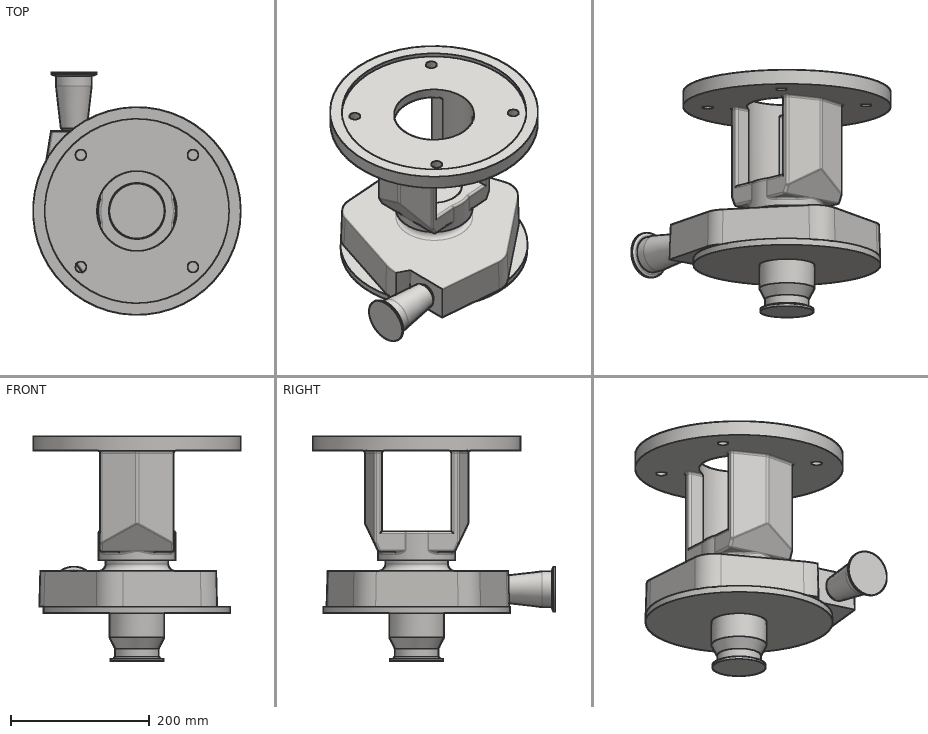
import cadquery as cq
import math

TOTAL_HEIGHT = 324.5
FLANGE_THICKNESS = 21.0
FLANGE_BOTTOM = TOTAL_HEIGHT - FLANGE_THICKNESS
HUB_TOP = 187.7
BRACKET_BOTTOM = 157.5
HUB_BOTTOM = 145.4
CASING_TOP = 130.3
COVER_TOP = 78.5
COVER_BOTTOM = 69.1

FLANGE_RADIUS = 150.0
SPIGOT_RADIUS = 133.0
SPIGOT_DEPTH = 6.0
BORE_RADIUS = 57.7
BOLT_CIRCLE_RADIUS = 114.3
BOLT_HOLE_RADIUS = 7.8
BOLT_HOLE_COUNT = 4
FIRST_BOLT_ANGLE = 45.0

BRACKET_HALF_WIDTH = 53.3
RIDGE_REACH = 75.2
ARM_SLOPE_ANGLE = 15.0
RIDGE_FILLET = 10.0
BRACKET_FILLET = 3.5
CHIN_FILLET = 3.5
HUB_FILLET = 3.3
ARM_ROOT_FILLET = 3.3
ROUNDED_REACH = 62.0
WINDOW_HALF_WIDTH = 49.8
CHIN_TOP = 199.4
CHIN_REACH = 55.0
HUB_RADIUS = 55.8
SEAL_RECESS_RADIUS = 40.6
SEAL_RECESS_FLOOR_RADIUS = 39.6
SEAL_RECESS_DEPTH = 4.0
NECK_RADIUS = 45.4
NECK_FILLET = 10.0

CASING_APOTHEM = 115.9
CASING_DRAFT = 1.5
CASING_SIDES = 5
CASING_CORNER_FILLET = 34.0
BACK_FILLET = 70.0
CASING_TOP_FILLET = 0.9
OUTLET_WALL_ANGLE = 9.2
OUTLET_WALL_DISTANCE = 140.9
BACK_WALL_Y = 133.7
STEP_WALL_ANGLE = 148.7
STEP_WALL_DISTANCE = 111.9
OUTLET_FACE_Y = 115.7
COVER_RADIUS = 135.0

INLET_RADIUS = 39.8
INLET_PIPE_RADIUS = 31.7
INLET_CONE_TOP = 34.1
INLET_CONE_BOTTOM = 18.2
INLET_FERRULE_RADIUS = 38.5
INLET_FERRULE_THICKNESS = 3.8
INLET_FERRULE_SHOULDER_RADIUS = 34.3
INLET_FERRULE_BACK = 6.6

OUTLET_X = -91.0
OUTLET_Z = 103.7
OUTLET_END_Y = 200.0
OUTLET_NECK_RADIUS = 15.8
OUTLET_NECK_TOP_Y = 116.5
OUTLET_CONE_START_Y = 119.2
OUTLET_CONE_RADIUS = 19.0
OUTLET_CONE_END_Y = 180.6
OUTLET_PIPE_RADIUS = 26.0
OUTLET_FERRULE_RADIUS = 32.8
OUTLET_FERRULE_THICKNESS = 2.8
OUTLET_FERRULE_SHOULDER_RADIUS = 28.5
OUTLET_FERRULE_SHOULDER_LENGTH = 4.6
OUTLET_FERRULE_BACK_LENGTH = 5.4

OVERLAP = 5.0
WIDE_MARGIN = 5.0
MARGIN = 1.0
FINE_MARGIN = 0.1


def cylinder(radius, bottom, top):
    return cq.Workplane("XY").workplane(offset=bottom).circle(radius).extrude(top - bottom)


def revolved(profile):
    """Solid of revolution about Z from (radius, height) points listed from bottom to top."""
    axis_points = [(0, profile[0][1])] + profile + [(0, profile[-1][1])]
    return cq.Workplane("XZ").polyline(axis_points).close().revolve(360, (0, 0, 0), (0, 1, 0))


def level_edges(reach_x, reach_y, height):
    """Selector for the edges centred near the pump axis and lying at one height."""
    return cq.selectors.BoxSelector(
        (-reach_x, -reach_y, height - FINE_MARGIN),
        (reach_x, reach_y, height + FINE_MARGIN),
    )


def bracket_block():
    """Six-sided block with a ridge on the front and back and a sloping chin below each ridge."""
    slope = math.tan(math.radians(ARM_SLOPE_ANGLE))
    side_reach = RIDGE_REACH - BRACKET_HALF_WIDTH * slope
    half = [(BRACKET_HALF_WIDTH, side_reach), (0, RIDGE_REACH), (-BRACKET_HALF_WIDTH, side_reach)]
    outline = half + [(-x, -y) for x, y in half]
    block = (
        cq.Workplane("XY").workplane(offset=BRACKET_BOTTOM)
        .polyline(outline).close().extrude(FLANGE_BOTTOM - BRACKET_BOTTOM)
    )
    ridges = cq.selectors.BoxSelector(
        (-MARGIN, -2 * RIDGE_REACH, BRACKET_BOTTOM), (MARGIN, 2 * RIDGE_REACH, FLANGE_BOTTOM)
    )
    block = block.edges("|Z").edges(ridges).fillet(RIDGE_FILLET)
    profile = [
        (-CHIN_REACH, BRACKET_BOTTOM), (CHIN_REACH, BRACKET_BOTTOM),
        (RIDGE_REACH, CHIN_TOP), (RIDGE_REACH, FLANGE_BOTTOM),
        (-RIDGE_REACH, FLANGE_BOTTOM), (-RIDGE_REACH, CHIN_TOP),
    ]
    chin = cq.Workplane("YZ").polyline(profile).close().extrude(BRACKET_HALF_WIDTH * 2, both=True)
    block = block.intersect(chin)
    for side in (-1, 1):
        chin_edges = cq.selectors.BoxSelector(
            (-BRACKET_HALF_WIDTH, side * ROUNDED_REACH, BRACKET_BOTTOM + MARGIN),
            (BRACKET_HALF_WIDTH, side * 2 * RIDGE_REACH, CHIN_TOP + MARGIN),
        )
        block = block.edges(chin_edges).fillet(CHIN_FILLET)
    return block


def fillet_window_side(body, side):
    """Round the rim of the bracket window on the side wall facing side * X."""
    inner_x = side * WINDOW_HALF_WIDTH
    outer_x = side * (HUB_RADIUS + MARGIN)
    rim = cq.selectors.BoxSelector(
        (min(inner_x, outer_x), -WINDOW_HALF_WIDTH - MARGIN, HUB_TOP - MARGIN),
        (max(inner_x, outer_x), WINDOW_HALF_WIDTH + MARGIN, FLANGE_BOTTOM - MARGIN),
    )
    return body.edges(rim).fillet(BRACKET_FILLET)


def bracket_with_flange():
    body = bracket_block()

    lower_edges = cq.selectors.BoxSelector(
        (-HUB_RADIUS, -ROUNDED_REACH, HUB_BOTTOM), (HUB_RADIUS, ROUNDED_REACH, FLANGE_BOTTOM - MARGIN)
    )
    body = body.edges(lower_edges).fillet(BRACKET_FILLET)

    body = body.union(cylinder(HUB_RADIUS, HUB_BOTTOM, HUB_TOP))
    hub_joint = level_edges(HUB_RADIUS, HUB_RADIUS, BRACKET_BOTTOM)
    body = body.edges(hub_joint).fillet(HUB_FILLET)

    body = body.union(cylinder(FLANGE_RADIUS, FLANGE_BOTTOM, TOTAL_HEIGHT))
    window_height = FLANGE_BOTTOM - HUB_TOP
    window = (
        cq.Workplane("XY").workplane(offset=HUB_TOP)
        .rect(4 * HUB_RADIUS, 2 * WINDOW_HALF_WIDTH).extrude(window_height)
    )
    body = body.cut(window)
    for side in (-1, 1):
        body = fillet_window_side(body, side)

    arm_roots = level_edges(HUB_RADIUS, RIDGE_REACH, FLANGE_BOTTOM)
    flange_rim = cq.selectors.RadiusNthSelector(-1)
    body = body.edges(arm_roots - flange_rim).fillet(ARM_ROOT_FILLET)

    body = body.cut(cylinder(BORE_RADIUS, HUB_TOP, TOTAL_HEIGHT))
    body = body.cut(cylinder(SPIGOT_RADIUS, TOTAL_HEIGHT - SPIGOT_DEPTH, TOTAL_HEIGHT))
    seal_recess = revolved([
        (SEAL_RECESS_FLOOR_RADIUS, HUB_TOP - SEAL_RECESS_DEPTH),
        (SEAL_RECESS_RADIUS, HUB_TOP),
    ])
    body = body.cut(seal_recess)
    bolt_holes = (
        cq.Workplane("XY").workplane(offset=FLANGE_BOTTOM)
        .polarArray(BOLT_CIRCLE_RADIUS, FIRST_BOLT_ANGLE, 360, BOLT_HOLE_COUNT)
        .circle(BOLT_HOLE_RADIUS).extrude(FLANGE_THICKNESS)
    )
    return body.cut(bolt_holes)


def wall_corner(first, second):
    """Point where two walls meet, each given as (direction of its normal, distance from the axis)."""
    angle_1, distance_1 = math.radians(first[0]), first[1]
    angle_2, distance_2 = math.radians(second[0]), second[1]
    spread = math.sin(angle_2 - angle_1)
    x = (distance_1 * math.sin(angle_2) - distance_2 * math.sin(angle_1)) / spread
    y = (distance_2 * math.cos(angle_1) - distance_1 * math.cos(angle_2)) / spread
    return (x, y)


def upright_edge_at(corner):
    x, y = corner
    return cq.selectors.BoxSelector(
        (x - WIDE_MARGIN, y - WIDE_MARGIN, COVER_TOP + WIDE_MARGIN),
        (x + WIDE_MARGIN, y + WIDE_MARGIN, CASING_TOP - WIDE_MARGIN),
    )


def casing():
    """Pentagon of drafted walls whose -X +Y side opens into a square-ended outlet."""
    turn_angle = 360.0 / CASING_SIDES
    pentagon = [(turn * turn_angle, CASING_APOTHEM) for turn in (1, 0, -1, -2)]
    outlet_side = (180 - OUTLET_WALL_ANGLE, OUTLET_WALL_DISTANCE)
    outlet_face = (90, OUTLET_FACE_Y)
    step_wall = (STEP_WALL_ANGLE, STEP_WALL_DISTANCE)
    back_wall = (90, BACK_WALL_Y)
    walls = [back_wall, *pentagon, outlet_side, outlet_face, step_wall]
    corners = [wall_corner(walls[i], walls[i + 1]) for i in range(len(walls) - 1)]
    corners.append(wall_corner(step_wall, back_wall))
    back_corner = corners[0]
    wide_corners = corners[1:len(pentagon) + 1]

    body = (
        cq.Workplane("XY").workplane(offset=COVER_TOP)
        .polyline(corners).close().extrude(CASING_TOP - COVER_TOP, taper=CASING_DRAFT)
    )
    for corner in wide_corners:
        body = body.edges(upright_edge_at(corner)).fillet(CASING_CORNER_FILLET)
    body = body.edges(upright_edge_at(back_corner)).fillet(BACK_FILLET)

    step_corner = corners[-2]
    outlet_edges = cq.selectors.BoxSelector(
        (-2 * OUTLET_WALL_DISTANCE, OUTLET_FACE_Y - WIDE_MARGIN, COVER_TOP),
        (step_corner[0] + 2 * WIDE_MARGIN, BACK_WALL_Y, CASING_TOP + WIDE_MARGIN),
    )
    top_rim = cq.selectors.DirectionMinMaxSelector(cq.Vector(0, 0, 1), True)
    body = body.edges(top_rim - outlet_edges).fillet(CASING_TOP_FILLET)

    body = body.union(cylinder(NECK_RADIUS, CASING_TOP, HUB_BOTTOM))
    neck_joint = level_edges(NECK_RADIUS, NECK_RADIUS, CASING_TOP)
    body = body.edges(neck_joint).fillet(NECK_FILLET)
    return body.union(cylinder(COVER_RADIUS, COVER_BOTTOM, COVER_TOP))


def inlet():
    return revolved([
        (INLET_FERRULE_RADIUS, 0),
        (INLET_FERRULE_RADIUS, INLET_FERRULE_THICKNESS),
        (INLET_FERRULE_SHOULDER_RADIUS, INLET_FERRULE_THICKNESS),
        (INLET_PIPE_RADIUS, INLET_FERRULE_BACK),
        (INLET_PIPE_RADIUS, INLET_CONE_BOTTOM),
        (INLET_RADIUS, INLET_CONE_TOP),
        (INLET_RADIUS, COVER_TOP),
    ])


def outlet():
    ferrule_front = OUTLET_END_Y - OUTLET_FERRULE_THICKNESS
    nozzle = revolved([
        (OUTLET_NECK_RADIUS, OUTLET_FACE_Y - OVERLAP),
        (OUTLET_NECK_RADIUS, OUTLET_NECK_TOP_Y),
        (OUTLET_CONE_RADIUS, OUTLET_CONE_START_Y),
        (OUTLET_PIPE_RADIUS, OUTLET_CONE_END_Y),
        (OUTLET_PIPE_RADIUS, OUTLET_END_Y - OUTLET_FERRULE_BACK_LENGTH),
        (OUTLET_FERRULE_SHOULDER_RADIUS, OUTLET_END_Y - OUTLET_FERRULE_SHOULDER_LENGTH),
        (OUTLET_FERRULE_RADIUS, ferrule_front),
        (OUTLET_FERRULE_RADIUS, OUTLET_END_Y),
    ])
    return nozzle.rotate((0, 0, 0), (1, 0, 0), -90).translate((OUTLET_X, 0, OUTLET_Z))


result = bracket_with_flange().union(casing()).union(inlet()).union(outlet())